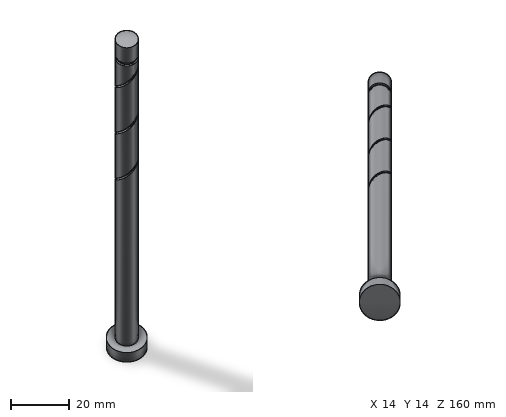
import cadquery as cq

total_height = 160.0
head_diameter = 14.0
head_height = 5.0
shank_diameter = 8.0
shank_radius = shank_diameter / 2

tip_height = 8.0
ring_top = total_height - tip_height
ring_width = 1.5
ring_depth = 0.6
ring_bottom = ring_top - ring_width

spiral_pitch = 24.0
spiral_turns = 3
spiral_groove_radius = 0.5
spiral_length = spiral_pitch * spiral_turns
spiral_start = ring_bottom - spiral_length
spiral_start_angle = 90.0


def headed_pin():
    head = cq.Workplane("XY").circle(head_diameter / 2).extrude(head_height)
    shank = cq.Workplane("XY").circle(shank_radius).extrude(total_height)
    return head.union(shank)


def ring_cutter():
    return (
        cq.Workplane("XY", origin=(0, 0, ring_bottom))
        .circle(head_diameter / 2)
        .circle(shank_radius - ring_depth)
        .extrude(ring_width)
    )


def spiral_cutter():
    path = cq.Wire.makeHelix(spiral_pitch, spiral_length, shank_radius)
    return (
        cq.Workplane("XZ")
        .center(shank_radius, 0)
        .circle(spiral_groove_radius)
        .sweep(cq.Workplane(path), isFrenet=True)
        .rotate((0, 0, 0), (0, 0, 1), spiral_start_angle)
        .translate((0, 0, spiral_start))
    )


result = headed_pin().cut(spiral_cutter()).cut(ring_cutter())